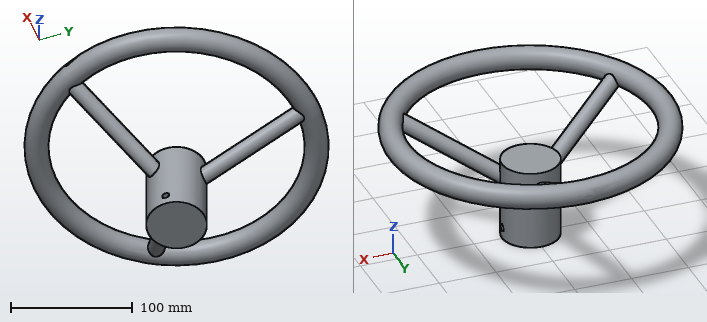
import cadquery as cq

rim_outer_diameter = 250.0
rim_tube_diameter = 20.0
overall_height = 110.0
rim_centre_radius = (rim_outer_diameter - rim_tube_diameter) / 2
rim_centre_height = overall_height - rim_tube_diameter / 2
rim_seam_angle = 45.0

hub_diameter = 50.0
hub_height = 70.0

spoke_diameter = 14.0
spoke_count = 3
first_spoke_angle = 90.0
spoke_inner_radius = 17.0
spoke_inner_height = 49.0

pin_hole_diameter = 6.0
pin_hole_height = 10.0


def make_rim():
    """Ring whose surface seam is turned clear of the spokes."""
    centre = cq.Vector(0, 0, rim_centre_height)
    ring = cq.Solid.makeTorus(rim_centre_radius, rim_tube_diameter / 2, centre, cq.Vector(0, 0, 1))
    return cq.Workplane("XY").newObject([ring]).rotate((0, 0, 0), (0, 0, 1), rim_seam_angle)


def make_hub():
    return cq.Workplane("XY").circle(hub_diameter / 2).extrude(hub_height)


def make_spoke(angle):
    """Round bar at the given angle about Z, measured from +X."""
    inner_end = cq.Vector(spoke_inner_radius, 0, spoke_inner_height)
    outer_end = cq.Vector(rim_centre_radius, 0, rim_centre_height)
    direction = outer_end - inner_end
    bar = cq.Solid.makeCylinder(spoke_diameter / 2, direction.Length, inner_end, direction)
    return cq.Workplane("XY").newObject([bar]).rotate((0, 0, 0), (0, 0, 1), angle)


def make_pin_hole():
    side_plane = cq.Workplane("YZ", origin=(0, 0, pin_hole_height))
    return side_plane.circle(pin_hole_diameter / 2).extrude(hub_diameter, both=True)


result = make_hub().union(make_rim())
for spoke_index in range(spoke_count):
    spoke_angle = first_spoke_angle + spoke_index * 360 / spoke_count
    result = result.union(make_spoke(spoke_angle))
result = result.cut(make_pin_hole())